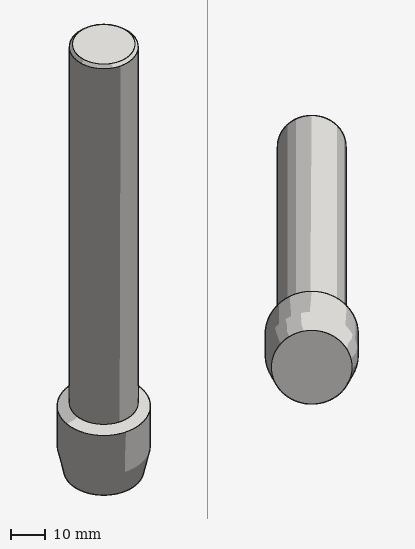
import cadquery as cq

foot_bottom_radius = 11.7
foot_radius = 13.52
taper_height = 9.0
shoulder_height = 24.0
foot_height = 25.3

total_height = 160.0
shaft_radius = 10.0
shaft_chamfer = 1.0


def make_shaft():
    """Plain round shaft standing on the foot, chamfered at its upper end."""
    return (
        cq.Workplane("XY")
        .workplane(offset=foot_height)
        .circle(shaft_radius)
        .extrude(total_height - foot_height)
        .faces(">Z")
        .chamfer(shaft_chamfer)
    )


def make_foot():
    """Solid of revolution whose flat top matches the shaft's lower face."""
    return (
        cq.Workplane("XZ")
        .lineTo(foot_bottom_radius, 0)
        .lineTo(foot_radius, taper_height)
        .lineTo(foot_radius, shoulder_height)
        .lineTo(shaft_radius, foot_height)
        .lineTo(0, foot_height)
        .close()
        .revolve(360, (0, 0, 0), (0, 1, 0))
    )


shaft = make_shaft()
foot = make_foot()
result = cq.Compound.makeCompound([shaft.val(), foot.val()])